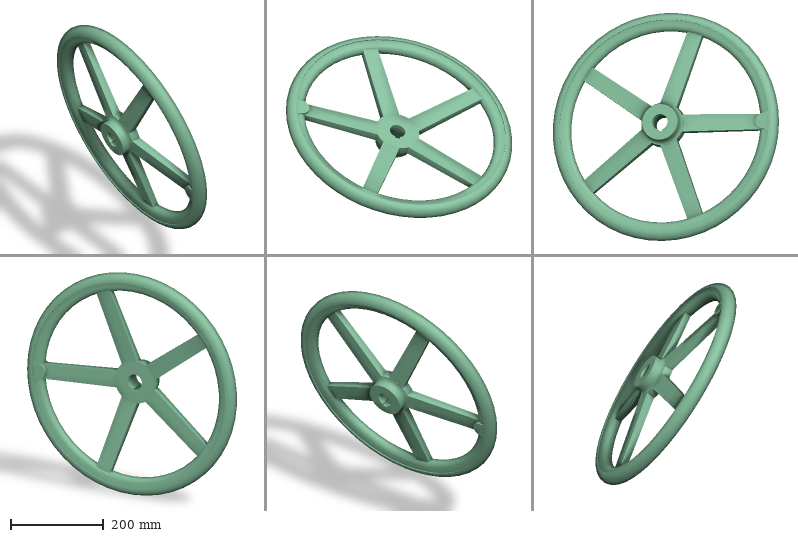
import cadquery as cq
import math


rim_outer_radius = 250.0
grip_radius = 17.0
grip_centre_radius = rim_outer_radius - grip_radius
rim_inner_radius = 210.0
step_width = 1.0
step_radius = grip_centre_radius - step_width
inner_round = 12.5
inner_round_centre = rim_inner_radius + inner_round
flank_slope = math.radians(10.0)

hub_face_y = -55.0
collar_radius = 39.0
collar_length = 14.5
collar_fillet = 7.5
hub_front_radius = collar_radius + collar_fillet
hub_front_y = hub_face_y + collar_length + collar_fillet
hub_back_radius = 48.0
hub_length = 19.5
hub_back_y = hub_front_y + hub_length
bore_diameter = 34.0
keyway_width = 10.0
keyway_depth = 3.3

spoke_count = 5
spoke_hub_width = 37.5
spoke_hub_front_y = hub_front_y + 0.8
spoke_rim_width = 34.0
spoke_rim_front_y = -6.3
spoke_rim_back_y = 8.0
spoke_start_radius = 30.0
spoke_end_radius = inner_round_centre

boss_centre_x = 220.0
boss_radius = 18.0
boss_flare_radius = 12.2
boss_flare_sweep = math.radians(70.0)
boss_half_depth = 15.0
boss_overlap = 3.0
boss_outer_x = grip_centre_radius + boss_overlap


def make_rim():
    """Revolve the rim section about the Y axis."""
    tangent_radius = inner_round_centre - inner_round * math.sin(flank_slope)
    tangent_y = inner_round * math.cos(flank_slope)
    flank_y = tangent_y + (step_radius - tangent_radius) * math.tan(flank_slope)
    section = (
        cq.Workplane("XY")
        .moveTo(grip_centre_radius, -grip_radius)
        .threePointArc((rim_outer_radius, 0), (grip_centre_radius, grip_radius))
        .lineTo(step_radius, grip_radius)
        .lineTo(step_radius, flank_y)
        .lineTo(tangent_radius, tangent_y)
        .threePointArc((rim_inner_radius, 0), (tangent_radius, -tangent_y))
        .lineTo(step_radius, -flank_y)
        .lineTo(step_radius, -grip_radius)
        .close()
    )
    return section.revolve(360, (0, 0, 0), (0, 1, 0))


def make_hub():
    """Revolve the collar, its concave fillet and the slightly conical hub body."""
    fillet_start_y = hub_face_y + collar_length
    fillet_offset = collar_fillet * (1 - math.sqrt(0.5))
    section = (
        cq.Workplane("XY")
        .moveTo(0, hub_face_y)
        .lineTo(collar_radius, hub_face_y)
        .lineTo(collar_radius, fillet_start_y)
        .threePointArc(
            (collar_radius + fillet_offset, hub_front_y - fillet_offset),
            (hub_front_radius, hub_front_y),
        )
        .lineTo(hub_back_radius, hub_back_y)
        .lineTo(0, hub_back_y)
        .close()
    )
    return section.revolve(360, (0, 0, 0), (0, 1, 0))


def along_spoke(radius, hub_value, rim_value):
    """Value at a radius, varying linearly from the hub wall to the inside of the rim."""
    share = (radius - hub_front_radius) / (rim_inner_radius - hub_front_radius)
    return hub_value + share * (rim_value - hub_value)


def spoke_section(radius):
    """Rectangular spoke section at a radius, normal to X."""
    front_y = along_spoke(radius, spoke_hub_front_y, spoke_rim_front_y)
    back_y = along_spoke(radius, hub_back_y, spoke_rim_back_y)
    width = along_spoke(radius, spoke_hub_width, spoke_rim_width)
    plane = cq.Workplane("YZ", origin=(radius, (front_y + back_y) / 2, 0))
    return plane.rect(back_y - front_y, width).val()


def make_spoke():
    """Loft one spoke along +X, from inside the hub to inside the rim."""
    sections = [spoke_section(spoke_start_radius), spoke_section(spoke_end_radius)]
    return cq.Workplane(cq.Solid.makeLoft(sections, True))


def make_handle_boss():
    """Flat-faced boss, round towards the hub and flared where it meets the rim step."""
    flare_centre_z = boss_radius + boss_flare_radius

    def flare_point(angle, side):
        x = boss_centre_x + boss_flare_radius * math.sin(angle)
        z = flare_centre_z - boss_flare_radius * math.cos(angle)
        return (x, side * z)

    upper_end = flare_point(boss_flare_sweep, 1)
    lower_end = flare_point(boss_flare_sweep, -1)
    outline = (
        cq.Workplane("XZ", origin=(0, boss_half_depth, 0))
        .moveTo(*upper_end)
        .threePointArc(flare_point(boss_flare_sweep / 2, 1), (boss_centre_x, boss_radius))
        .threePointArc((boss_centre_x - boss_radius, 0), (boss_centre_x, -boss_radius))
        .threePointArc(flare_point(boss_flare_sweep / 2, -1), lower_end)
        .lineTo(boss_outer_x, lower_end[1])
        .lineTo(boss_outer_x, upper_end[1])
        .close()
    )
    return outline.extrude(2 * boss_half_depth)


def make_bore():
    """Through bore with a keyway on the -Z side."""
    length = hub_back_y - hub_face_y
    key_height = bore_diameter / 2 + keyway_depth
    plane = cq.Workplane("XZ", origin=(0, hub_back_y, 0))
    bore = plane.circle(bore_diameter / 2).extrude(length)
    keyway = plane.center(0, -key_height / 2).rect(keyway_width, key_height).extrude(length)
    return bore.union(keyway)


wheel = make_rim().union(make_hub())
spoke = make_spoke()
for index in range(spoke_count):
    angle = index * 360 / spoke_count
    wheel = wheel.union(spoke.rotate((0, 0, 0), (0, 1, 0), angle))
wheel = wheel.union(make_handle_boss())
result = wheel.cut(make_bore())